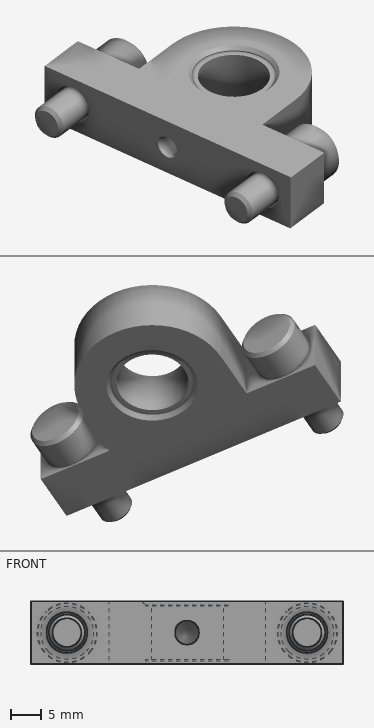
import cadquery as cq
import math

plate_length = 52.0
plate_depth = 9.0
thickness = 10.5
end_chamfer = 0.1

eye_radius = 13.0
eye_center_y = 18.0

bore_diameter = 12.0
recess_diameter = 14.0
recess_depth = 0.8
bore_chamfer = 0.6

center_hole_diameter = 4.0
center_hole_depth = 5.0
drill_point_angle = 140.0

screw_spacing = 40.0
clearance_diameter = 6.8
shank_diameter = 6.0
shank_protrusion = 7.0
shank_chamfer = 0.61
head_diameter = 10.0
head_height = 6.0
head_chamfer = 0.6
underhead_chamfer = 0.12
underhead_fillet = 0.05

screw_positions = [-screw_spacing / 2, screw_spacing / 2]


def cylinder_along_y(x, y_start, diameter, length):
    """Cylinder centred on Z = 0 that grows from y_start towards +Y."""
    plane = cq.Plane(origin=(x, y_start, 0), xDir=(1, 0, 0), normal=(0, 1, 0))
    return cq.Workplane(plane).circle(diameter / 2).extrude(length)


def make_plate():
    plate = cq.Workplane("XY").box(plate_length, plate_depth, thickness, centered=(True, False, True))
    return plate.edges("|Y").chamfer(end_chamfer)


def make_eye():
    return (
        cq.Workplane("XY", origin=(0, 0, -thickness / 2))
        .moveTo(-eye_radius, end_chamfer)
        .lineTo(eye_radius, end_chamfer)
        .lineTo(eye_radius, eye_center_y)
        .threePointArc((0, eye_center_y + eye_radius), (-eye_radius, eye_center_y))
        .close()
        .extrude(thickness)
    )


def make_bore_cutter():
    """Revolved profile of the stepped bore, with a chamfer at each mouth."""
    half = thickness / 2
    bore_radius = bore_diameter / 2
    recess_radius = recess_diameter / 2
    mouth_radius = recess_radius + bore_chamfer
    upper_half = [
        (bore_radius, half - recess_depth),
        (recess_radius, half - recess_depth),
        (recess_radius, half - bore_chamfer),
        (mouth_radius, half),
    ]
    lower_half = [(r, -z) for r, z in reversed(upper_half)]
    profile = [(0, -half)] + lower_half + upper_half + [(0, half)]
    cutter = cq.Workplane("XZ").polyline(profile).close().revolve(360, (0, 0), (0, 1))
    return cutter.translate((0, eye_center_y, 0))


def make_center_hole_cutter():
    """Drilled blind hole with a conical bottom."""
    radius = center_hole_diameter / 2
    point_length = radius / math.tan(math.radians(drill_point_angle / 2))
    return (
        cq.Workplane("XY")
        .polyline([(0, 0), (radius, 0), (radius, center_hole_depth), (0, center_hole_depth + point_length)])
        .close()
        .revolve(360, (0, 0), (0, 1))
    )


def make_bracket():
    bracket = make_plate().union(make_eye())
    bracket = bracket.cut(make_bore_cutter()).cut(make_center_hole_cutter())
    for x in screw_positions:
        bracket = bracket.cut(cylinder_along_y(x, 0, clearance_diameter, plate_depth))
    return bracket


def make_screw(x):
    """Cap screw whose head rests on the back of the plate, with a small fillet under the head."""
    shank = cylinder_along_y(x, -shank_protrusion, shank_diameter, shank_protrusion + plate_depth)
    shank = shank.faces("<Y").chamfer(shank_chamfer)
    head = cylinder_along_y(x, plate_depth, head_diameter, head_height)
    head = head.faces(">Y").chamfer(head_chamfer)
    head = head.faces("<Y").chamfer(underhead_chamfer)
    screw = shank.union(head)
    shank_rims = screw.edges("%CIRCLE").edges(cq.selectors.RadiusNthSelector(1))
    return shank_rims.edges(">Y").fillet(underhead_fillet)


bracket = make_bracket()
screws = [make_screw(x) for x in screw_positions]

result = cq.Compound.makeCompound([bracket.val(), *[screw.val() for screw in screws]])